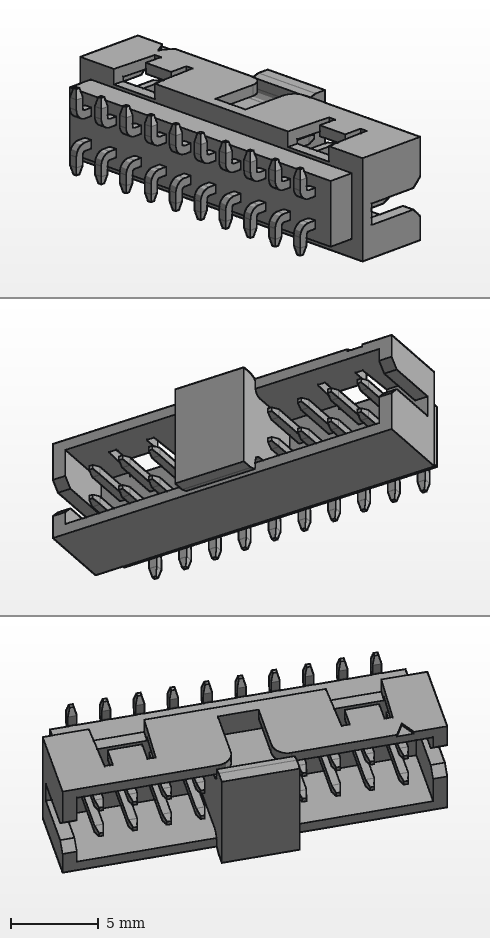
import cadquery as cq
import math


length = 22.65
height = 6.35
depth = 4.7
wall = 0.68
end_wall = 0.84
back_wall = 0.75
cavity_height = height - 2 * wall

base_length = 20.93
base_height = 4.03
base_depth = 1.72

pin_count = 10
pitch = 2.0
row_height = pitch / 2
pin_size = 0.52
pin_front = 4.4
pin_back = -2.95
pin_end_height = 2.65
tip_length = 0.57
tip_size = 0.25
bend_inner = 0.18
bend_outer = bend_inner + pin_size

window_pin = 1
window_x = pitch * ((pin_count - 1) / 2 - window_pin)
window_depth = 3.22
window_back_width = 3.26
window_front_width = 3.01
tongue_width = 2.04
tongue_back = 1.97
sill_height = 2.22

channel_width = 2.4
channel_flare = 0.93
groove_width = 1.2
groove_depth = 0.35

slot_top = 1.13
slot_bottom = -0.18
slot_chamfer = 0.57

mark_x = -8.85
mark_width = 1.0
mark_length = 0.85
mark_depth = 0.14

cap_width = 4.6
cap_front = 6.12
cap_back = 1.09
cap_body_height = 3.99
cap_fillet = 0.5
cap_fillet_start = 4.35
cap_bevel_front = 5.37
cap_bevel_back = 4.9
cap_bevel_drop = 0.14


def box(x_size, y_min, y_max, z_min, z_max):
    """Box centred on X = 0."""
    block = cq.Workplane("XY").box(x_size, y_max - y_min, z_max - z_min, centered=(True, False, False))
    return block.translate((0, y_min, z_min))


def extrude_along_x(profile, width):
    """Extrude a profile drawn in Y and Z, centred on X = 0."""
    return profile.extrude(width / 2, both=True)


def make_window():
    """Tapered window that leaves a tongue hanging from its front edge and a sill in the back wall."""
    outline = (
        cq.Workplane("XY", origin=(0, 0, sill_height))
        .moveTo(-window_back_width / 2, 0)
        .lineTo(-window_front_width / 2, window_depth)
        .lineTo(window_front_width / 2, window_depth)
        .lineTo(window_back_width / 2, 0)
        .close()
        .extrude(height / 2 - sill_height)
    )
    return outline.cut(box(tongue_width, tongue_back, window_depth, sill_height, height / 2))


def make_channel():
    """Channel through the top wall with a mouth flared by two tangent arcs."""
    half = channel_width / 2
    arc_offset = channel_flare * (1 - math.sqrt(0.5))
    return (
        cq.Workplane("XY", origin=(0, 0, cavity_height / 2))
        .moveTo(-half, back_wall)
        .lineTo(half, back_wall)
        .lineTo(half, depth - channel_flare)
        .threePointArc((half + arc_offset, depth - arc_offset), (half + channel_flare, depth))
        .lineTo(-half - channel_flare, depth)
        .threePointArc((-half - arc_offset, depth - arc_offset), (-half, depth - channel_flare))
        .close()
        .extrude(wall)
    )


def make_end_slot():
    """Slot through the -X end wall with a chamfered mouth."""
    profile = cq.Workplane("YZ", origin=(-length / 2, 0, 0)).polyline(
        [
            (back_wall, slot_bottom),
            (back_wall, slot_top),
            (depth - slot_chamfer, slot_top),
            (depth, slot_top + slot_chamfer),
            (depth, slot_bottom - slot_chamfer),
            (depth - slot_chamfer, slot_bottom),
        ]
    )
    return profile.close().extrude(end_wall)


def make_housing():
    body = box(length, 0, depth, -height / 2, height / 2)
    base = box(base_length, -base_depth, 0, -base_height / 2, base_height / 2)
    cavity = box(length - 2 * end_wall, back_wall, depth, -cavity_height / 2, cavity_height / 2)
    groove = box(groove_width, back_wall, depth, -cavity_height / 2 - groove_depth, -cavity_height / 2)
    mark = (
        cq.Workplane("XY", origin=(mark_x, depth, height / 2))
        .polyline([(-mark_width / 2, 0), (mark_width / 2, 0), (0, -mark_length)])
        .close()
        .extrude(-mark_depth)
    )
    housing = body.union(base).cut(cavity).cut(groove).cut(mark).cut(make_channel())

    for x in (-window_x, window_x):
        housing = housing.cut(make_window().translate((x, 0, 0)))

    slot = make_end_slot()
    return housing.cut(slot).cut(slot.rotate((0, 0, 0), (0, 1, 0), 180))


def make_tip():
    """Pin point along +Z, tapered evenly on all four sides."""
    taper = math.degrees(math.atan((pin_size - tip_size) / 2 / tip_length))
    return cq.Workplane("XY").rect(pin_size, pin_size).extrude(tip_length, taper=taper)


def make_pin():
    """Upper-row pin: straight through the base, then bent up behind it."""
    bottom = row_height - pin_size / 2
    top = row_height + pin_size / 2
    leg_front = pin_back + pin_size
    leg_top = pin_end_height - tip_length
    shank_front = pin_front - tip_length
    bend_y = pin_back + bend_outer
    bend_z = bottom + bend_outer
    diagonal = math.sqrt(0.5)
    profile = (
        cq.Workplane("YZ")
        .moveTo(shank_front, bottom)
        .lineTo(bend_y, bottom)
        .threePointArc((bend_y - bend_outer * diagonal, bend_z - bend_outer * diagonal), (pin_back, bend_z))
        .lineTo(pin_back, leg_top)
        .lineTo(leg_front, leg_top)
        .lineTo(leg_front, bend_z)
        .threePointArc((bend_y - bend_inner * diagonal, bend_z - bend_inner * diagonal), (bend_y, top))
        .lineTo(shank_front, top)
        .close()
    )
    tip = make_tip()
    leg_tip = tip.translate((0, pin_back + pin_size / 2, leg_top))
    front_tip = tip.rotate((0, 0, 0), (1, 0, 0), -90).translate((0, shank_front, row_height))
    return extrude_along_x(profile, pin_size).union(leg_tip).union(front_tip)


def make_cap():
    """Bevelled plate blended by fillets into a block that encloses the middle pins."""
    body = cap_body_height / 2
    top = height / 2
    bevel_bottom = top - cap_bevel_drop

    center_z = body + cap_fillet
    reach_y = cap_bevel_back - cap_fillet_start
    reach_z = bevel_bottom - center_z
    tangent_angle = math.atan2(reach_z, reach_y) - math.acos(cap_fillet / math.hypot(reach_y, reach_z))

    def fillet_point(angle):
        return (cap_fillet_start + cap_fillet * math.cos(angle), center_z + cap_fillet * math.sin(angle))

    upper_half = (
        cq.Workplane("YZ")
        .moveTo(cap_back, 0)
        .lineTo(cap_back, body)
        .lineTo(cap_fillet_start, body)
        .threePointArc(fillet_point((tangent_angle - math.pi / 2) / 2), fillet_point(tangent_angle))
        .lineTo(cap_bevel_back, bevel_bottom)
        .lineTo(cap_bevel_front, top)
        .lineTo(cap_front, top)
        .lineTo(cap_front, 0)
        .close()
    )
    upper = extrude_along_x(upper_half, cap_width)
    return upper.union(upper.mirror("XY"))


result = make_housing().union(make_cap())
upper_pin = make_pin()
lower_pin = upper_pin.mirror("XY")
for index in range(pin_count):
    pin_x = pitch * (index - (pin_count - 1) / 2)
    result = result.union(upper_pin.translate((pin_x, 0, 0))).union(lower_pin.translate((pin_x, 0, 0)))